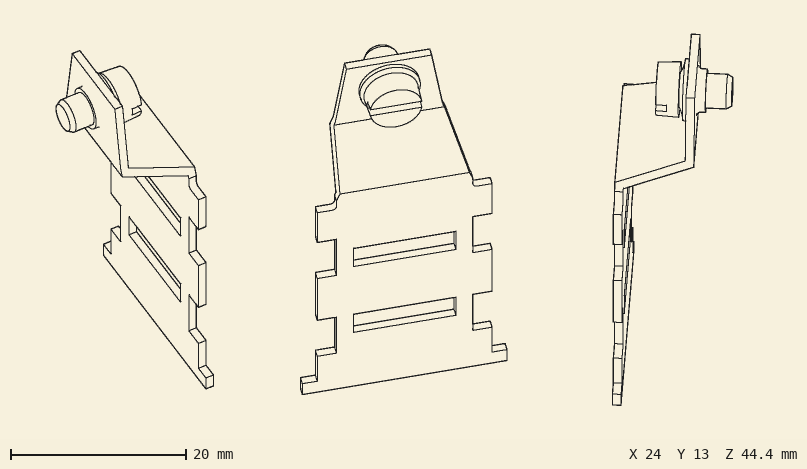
import cadquery as cq
import math

sheet = 1.0
overall_height = 44.41
step_depth = 9.0
bend_angle = 20.0
leg_front_height = 31.8

foot_half = 12.0
lug_half = 10.25
neck_half = 8.0
tab_kink_half = 6.33
tab_top_half = 5.0

foot_top = 1.84
lower_lug_top = 6.0
middle_lug_bottom = 12.0
middle_lug_top = 19.0
upper_lug_bottom = 25.0
upper_lug_top = 30.0
neck_fillet = 0.5
taper_start = 31.43
tab_kink_height = 35.78

window_width = 12.0
window_height = 3.0
window_bottoms = (9.0, 20.0)

screw_drop = 4.0
screw_height = overall_height - screw_drop
head_start = 4.4
head_end = 7.0
head_top_radius = 3.05
head_base_radius = 3.18
slot_width = 1.0
slot_depth = 1.25

washer_neck_radius = 2.0
washer_flare_radius = 2.7
washer_flare_position = 7.33
washer_radius = 3.55
washer_rim_start = 7.5

collar_radius = 2.5
collar_fillet = 0.5
collar_length = 1.05
shank_radius = 2.0
tip_end = 13.0
tip_chamfer_length = 0.6
tip_chamfer_depth = 0.35


def make_joggle_profile():
    """Folded sheet: its side profile extruded over the full width."""
    slope = math.tan(math.radians(bend_angle))
    vertical_thickness = sheet / math.cos(math.radians(bend_angle))

    def under(depth):
        return leg_front_height + (depth - sheet) * slope

    def over(depth):
        return under(depth) + vertical_thickness

    inner_depth = step_depth - sheet
    points = [
        (0, 0),
        (-sheet, 0),
        (-sheet, under(sheet)),
        (-step_depth, under(step_depth)),
        (-step_depth, overall_height),
        (-inner_depth, overall_height),
        (-inner_depth, over(inner_depth)),
        (0, over(0)),
    ]
    return cq.Workplane("YZ").polyline(points).close().extrude(foot_half, both=True)


def make_front_outline():
    """Stepped and tapered outline, extruded through the full depth of the fold."""
    right_side = [
        (foot_half, 0),
        (foot_half, foot_top),
        (lug_half, foot_top),
        (lug_half, lower_lug_top),
        (neck_half, lower_lug_top),
        (neck_half, middle_lug_bottom),
        (lug_half, middle_lug_bottom),
        (lug_half, middle_lug_top),
        (neck_half, middle_lug_top),
        (neck_half, upper_lug_bottom),
        (lug_half, upper_lug_bottom),
        (lug_half, upper_lug_top),
        (neck_half, upper_lug_top),
        (neck_half, taper_start),
        (tab_kink_half, tab_kink_height),
        (tab_top_half, overall_height),
    ]
    left_side = [(-x, z) for x, z in reversed(right_side)]
    outline = cq.Workplane("XZ").polyline(right_side + left_side).close().extrude(step_depth)
    inside_corners = cq.selectors.BoxSelector(
        (-neck_half - neck_fillet, -step_depth, upper_lug_top - neck_fillet),
        (neck_half + neck_fillet, 0, upper_lug_top + neck_fillet),
    )
    return outline.edges("|Y").edges(inside_corners).fillet(neck_fillet)


def make_bracket():
    """Folded sheet trimmed to its outline, with the windows cut through the leg."""
    bracket = make_joggle_profile().intersect(make_front_outline())
    for bottom in window_bottoms:
        window = cq.Workplane("XY").box(
            window_width, 2 * sheet, window_height, centered=(True, True, False)
        )
        bracket = bracket.cut(window.translate((0, -sheet / 2, bottom)))
    return bracket


def make_screw():
    """Head, flared washer, collar and shank as one turned body, plus the driver slot."""
    tab_back = step_depth - sheet
    collar_end = step_depth + collar_length
    fillet_end = step_depth + collar_fillet
    fillet_base_radius = collar_radius + collar_fillet
    arc_offset = collar_fillet * (1 - math.sqrt(0.5))
    profile = (
        cq.Workplane("XY")
        .moveTo(0, -head_start)
        .lineTo(head_top_radius, -head_start)
        .lineTo(head_base_radius, -head_end)
        .lineTo(washer_neck_radius, -head_end)
        .threePointArc(
            (washer_flare_radius, -washer_flare_position),
            (washer_radius, -washer_rim_start),
        )
        .lineTo(washer_radius, -tab_back)
        .lineTo(fillet_base_radius, -tab_back)
        .lineTo(fillet_base_radius, -step_depth)
        .threePointArc(
            (collar_radius + arc_offset, -step_depth - arc_offset),
            (collar_radius, -fillet_end),
        )
        .lineTo(collar_radius, -collar_end)
        .lineTo(shank_radius, -collar_end)
        .lineTo(shank_radius, -tip_end + tip_chamfer_length)
        .lineTo(shank_radius - tip_chamfer_depth, -tip_end)
        .lineTo(0, -tip_end)
        .close()
    )
    screw = profile.revolve(360, (0, 0, 0), (0, 1, 0))
    slot = cq.Workplane("XY").box(3 * head_base_radius, 2 * slot_depth, slot_width)
    screw = screw.cut(slot.translate((0, -head_start, 0)))
    return screw.translate((0, 0, screw_height))


result = make_bracket().union(make_screw())